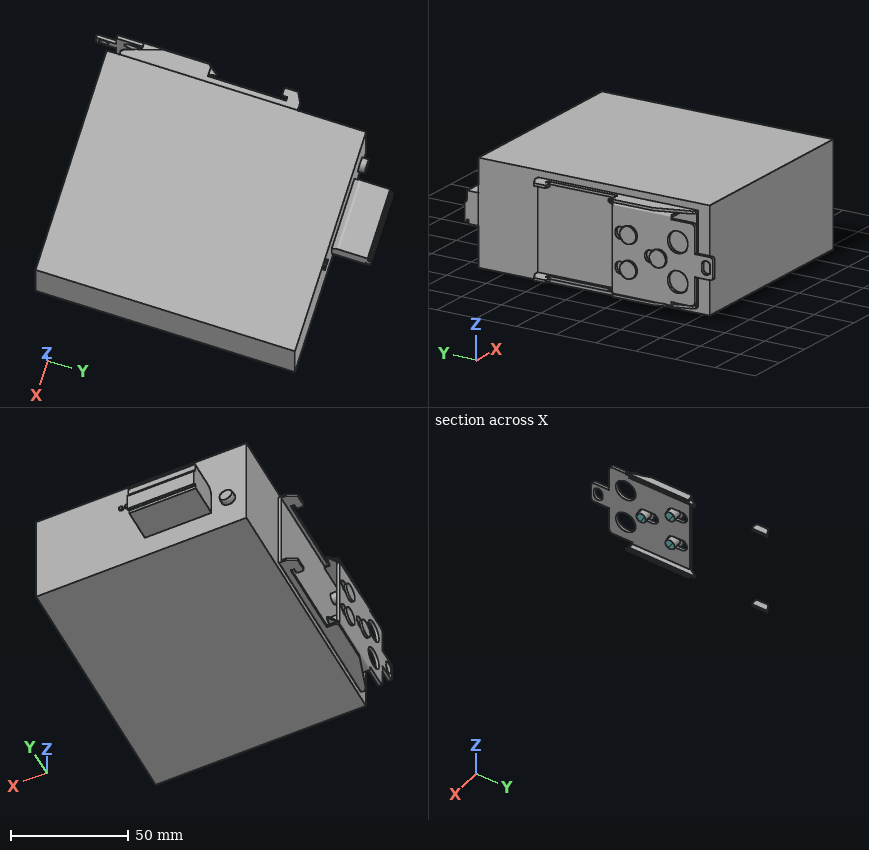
import cadquery as cq
import math

BODY_WIDTH = 100.0
BODY_LENGTH = 116.3
BODY_HEIGHT = 50.0

BRACKET_BOTTOM = 5.6
BRACKET_TOP = 85.5
BRACKET_HALF_HEIGHT = 22.1
BRACKET_CHEEK = 1.3
BRACKET_BASE = 1.4
BRACKET_BEND_RADIUS = 1.3
BRACKET_FRONT = 8.3
RAIL_SEAT_DEPTH = 3.1
RAIL_SEAT_BOTTOM = 44.5

SLIDER_FRONT = 8.9
SLIDER_PLATE = 1.5
SLIDER_BACK = SLIDER_FRONT - SLIDER_PLATE
SLIDER_CHEEK = 1.0
SLIDER_CLEARANCE = 0.3
SLIDER_HALF_HEIGHT = BRACKET_HALF_HEIGHT - BRACKET_CHEEK - SLIDER_CLEARANCE
SLIDER_BEND_RADIUS = 0.8
SLIDER_BOTTOM = 13.9
SLIDER_TOP = 43.5
APRON_BOTTOM = 2.0
APRON_HALF_HEIGHT = 18.7
APRON_RADIUS = 2.0
TAB_BOTTOM = -7.2
TAB_HALF_HEIGHT = 5.2
TAB_RADIUS = 1.4
TAB_SLOT_Y = -3.7
TAB_SLOT_LENGTH = 6.3
TAB_SLOT_WIDTH = 4.4
ROUND_HOLE_Y = 10.5
ROUND_HOLE_Z = 9.0
ROUND_HOLE_RADIUS = 5.0

PIN_POSITIONS = [(35.0, 7.9), (35.0, -7.9), (20.1, 0)]
PIN_HEAD_RADIUS = 4.1
PIN_HEAD_HEIGHT = 1.0
PIN_RADIUS = 2.5
PIN_SLOT_RADIUS = 2.8
PIN_SLOT_TRAVEL = 4.2

TERMINAL_LEFT = 16.6
TERMINAL_WIDTH = 31.6
TERMINAL_DEPTH = 17.2
TERMINAL_TOP = 2.1
TERMINAL_SHOULDER_RADIUS = 2.0
TERMINAL_SHOULDER_START = 3.2
TERMINAL_SHOULDER_ANGLE = 45
TERMINAL_BOTTOM = -13.0

SCREW_X = 8.5
SCREW_Z = -8.5
SCREW_RADIUS = 3.2
SCREW_HEIGHT = 3.0
SCREW_CHAMFER_LENGTH = 1.0
SCREW_CHAMFER_WIDTH = 0.3

LAMP_X_POSITIONS = [56.5, 59.4]
LAMP_Z = 12.1
LAMP_RADIUS = 1.0
LAMP_HEIGHT = 0.7


def block(x_range, y_range, z_range):
    """Box spanning the given ranges."""
    (x0, x1), (y0, y1), (z0, z1) = x_range, y_range, z_range
    return cq.Workplane("XY").box(x1 - x0, y1 - y0, z1 - z0, centered=False).translate((x0, y0, z0))


def symmetric_block(x_range, y_range, half_height):
    """Box spanning the given ranges, centred on Z = 0."""
    return block(x_range, y_range, (-half_height, half_height))


def cheek_pair(outline, outer_half_height, thickness):
    """Two mirrored plates of one XY outline, ending at +/- outer_half_height."""
    inner = outer_half_height - thickness
    upper = cq.Workplane("XY").workplane(offset=inner).polyline(outline).close().extrude(thickness)
    return upper.union(upper.mirror("XY"))


def left_cylinder(y, z, radius, back, front):
    """Cylinder along -X from depth back to depth front outside the left face."""
    return cq.Workplane("YZ", origin=(-back, y, z)).circle(radius).extrude(back - front)


def end_cylinder(x, z, radius, height):
    """Cylinder standing on the +Y face."""
    return cq.Workplane("XZ", origin=(x, BODY_LENGTH, z)).circle(radius).extrude(-height)


def make_bracket():
    base = symmetric_block((-BRACKET_BASE, 0), (BRACKET_BOTTOM, BRACKET_TOP), BRACKET_HALF_HEIGHT)
    cheek_outline = [
        (0, BRACKET_TOP),
        (-3.8, BRACKET_TOP),
        (-BRACKET_FRONT, 83.3),
        (-BRACKET_FRONT, 77.5),
        (-7.6, 77.1),
        (-5.2, 77.1),
        (-4.6, 77.8),
        (-4.6, 79.5),
        (-RAIL_SEAT_DEPTH, 79.5),
        (-RAIL_SEAT_DEPTH, RAIL_SEAT_BOTTOM),
        (-7.5, RAIL_SEAT_BOTTOM),
        (-BRACKET_FRONT, SLIDER_TOP),
        (-BRACKET_FRONT, 23.5),
        (-RAIL_SEAT_DEPTH, 6.6),
        (-2.3, BRACKET_BOTTOM),
        (0, BRACKET_BOTTOM),
    ]
    bracket = base.union(cheek_pair(cheek_outline, BRACKET_HALF_HEIGHT, BRACKET_CHEEK))

    return bracket.edges("|Y and >X").fillet(BRACKET_BEND_RADIUS)


def make_slider():
    channel = symmetric_block(
        (-SLIDER_FRONT, -BRACKET_BASE), (SLIDER_BOTTOM, SLIDER_TOP), SLIDER_HALF_HEIGHT
    )
    channel = channel.edges("|Y and <X").fillet(SLIDER_BEND_RADIUS)
    channel = channel.cut(symmetric_block(
        (-SLIDER_BACK, -BRACKET_BASE), (SLIDER_BOTTOM, SLIDER_TOP), SLIDER_HALF_HEIGHT - SLIDER_CHEEK
    ))

    nib_outline = [
        (-8.3, SLIDER_TOP),
        (-7.5, RAIL_SEAT_BOTTOM),
        (-5.2, 47.7),
        (-4.6, 47.7),
        (-4.1, RAIL_SEAT_BOTTOM),
        (-4.1, SLIDER_TOP),
    ]
    nibs = cheek_pair(nib_outline, SLIDER_HALF_HEIGHT, SLIDER_CHEEK)

    plate_x = (-SLIDER_FRONT, -SLIDER_BACK)
    apron = symmetric_block(plate_x, (APRON_BOTTOM, SLIDER_BOTTOM), APRON_HALF_HEIGHT)
    apron = apron.edges("|X and <Y").fillet(APRON_RADIUS)
    tab = symmetric_block(plate_x, (TAB_BOTTOM, APRON_BOTTOM), TAB_HALF_HEIGHT)
    tab = tab.edges("|X and <Y").fillet(TAB_RADIUS)
    slider = channel.union(nibs).union(apron).union(tab)

    tab_slot = (
        cq.Workplane("YZ", origin=(-SLIDER_BACK, TAB_SLOT_Y, 0))
        .slot2D(TAB_SLOT_LENGTH, TAB_SLOT_WIDTH, 90)
        .extrude(-SLIDER_PLATE)
    )
    slider = slider.cut(tab_slot)
    for z in (-ROUND_HOLE_Z, ROUND_HOLE_Z):
        slider = slider.cut(left_cylinder(ROUND_HOLE_Y, z, ROUND_HOLE_RADIUS, SLIDER_FRONT, SLIDER_BACK))
    for y, z in PIN_POSITIONS:
        pin_slot = (
            cq.Workplane("YZ", origin=(-SLIDER_BACK, y + PIN_SLOT_TRAVEL / 2, z))
            .slot2D(PIN_SLOT_TRAVEL + 2 * PIN_SLOT_RADIUS, 2 * PIN_SLOT_RADIUS)
            .extrude(-SLIDER_PLATE)
        )
        slider = slider.cut(pin_slot)
    return slider


def make_pin(y, z):
    head_front = SLIDER_FRONT + PIN_HEAD_HEIGHT
    shank = left_cylinder(y, z, PIN_RADIUS, head_front, 0)
    head = left_cylinder(y, z, PIN_HEAD_RADIUS, head_front, SLIDER_FRONT)
    return shank.union(head)


def make_terminal_block():
    corners = [
        (TERMINAL_SHOULDER_START, TERMINAL_TOP),
        (16.0, TERMINAL_TOP),
        (16.0, -1.5),
        (16.5, -2.8),
        (TERMINAL_DEPTH, -3.4),
        (TERMINAL_DEPTH, -12.1),
        (16.2, -12.1),
        (16.2, -11.1),
        (15.2, -11.1),
        (15.2, TERMINAL_BOTTOM),
        (0, TERMINAL_BOTTOM),
    ]

    def shoulder_point(angle):
        """Point on the shoulder arc, turned down from the top by angle in degrees."""
        turn = math.radians(angle)
        return (
            TERMINAL_SHOULDER_START - TERMINAL_SHOULDER_RADIUS * math.sin(turn),
            TERMINAL_TOP - TERMINAL_SHOULDER_RADIUS * (1 - math.cos(turn)),
        )

    arc_end = shoulder_point(TERMINAL_SHOULDER_ANGLE)
    slope_foot = (0, arc_end[1] - arc_end[0] * math.tan(math.radians(TERMINAL_SHOULDER_ANGLE)))
    profile = (
        cq.Workplane("YZ", origin=(TERMINAL_LEFT, BODY_LENGTH, 0))
        .polyline(corners + [slope_foot, arc_end])
        .threePointArc(shoulder_point(TERMINAL_SHOULDER_ANGLE / 2), corners[0])
        .close()
    )
    return profile.extrude(TERMINAL_WIDTH)


def make_screw():
    screw = end_cylinder(SCREW_X, SCREW_Z, SCREW_RADIUS, SCREW_HEIGHT)
    tip = screw.faces(">Y").edges()
    return tip.chamfer(SCREW_CHAMFER_LENGTH, SCREW_CHAMFER_WIDTH)


result = symmetric_block((0, BODY_WIDTH), (0, BODY_LENGTH), BODY_HEIGHT / 2)
result = result.union(make_bracket()).union(make_slider())
for pin_y, pin_z in PIN_POSITIONS:
    result = result.union(make_pin(pin_y, pin_z))
result = result.union(make_terminal_block()).union(make_screw())
for lamp_x in LAMP_X_POSITIONS:
    result = result.union(end_cylinder(lamp_x, LAMP_Z, LAMP_RADIUS, LAMP_HEIGHT))